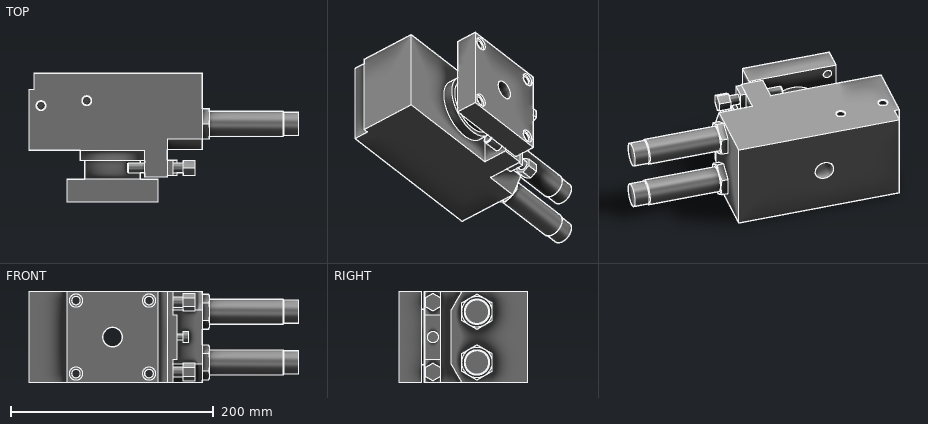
import cadquery as cq
import math

HEIGHT = 90.0
HALF_HEIGHT = HEIGHT / 2
OVERLAP = 1.0

HOUSING_LEFT = -82.5
HOUSING_RIGHT = 88.5
HOUSING_BACK = 76.0
STEP_WIDTH = 5.0
STEP_DEPTH = 16.0
LUG_LEFT = 31.6
LUG_RIGHT = 54.0
LUG_REACH = 26.4
END_RELIEF = 0.6
BEVEL_HEIGHT = 18.4
BEVEL_DEPTH = BEVEL_HEIGHT * math.tan(math.radians(30))

BORE_DIAMETER = 19.0
COLLAR_DIAMETER = 64.0
COLLAR_LENGTH = 10.3

PORT_MOUTH_DIAMETER = 9.728
PORT_DIAMETER = 8.566
PORT_DEPTH = 6.0
COUNTERSINK_TAPER = 45.0
PORT_POINTS = [(-70.5, 44.0), (-25.4, 48.9)]

SCREW_Y = -17.4
SCREW_Z = 34.4
SCREW_DIAMETER = 10.0
SCREW_TIP_DIAMETER = 8.38
SCREW_TIP_X = 14.8
SCREW_HEAD_X = 69.6
SCREW_HEAD_LENGTH = 11.8
SCREW_HEAD_FLATS = 15.0
RETAINER_WIDTH = 15.4
RETAINER_THICKNESS = 5.6
RETAINER_HEIGHT = 89.8
PAD_HEIGHT = 44.0
PAD_THICKNESS = 4.2
BUTTON_SHANK_DIAMETER = 6.0
BUTTON_HEAD_DIAMETER = 11.0
BUTTON_HEAD_LENGTH = 5.4

ABSORBER_Y = 26.0
ABSORBER_Z = 25.0
NUT_FLATS = 30.0
NUT_LENGTH = 7.2
NUT_CHAMFER = 0.9
ABSORBER_DIAMETER = 25.0
ABSORBER_CAP_DIAMETER = 23.16
ABSORBER_SHOULDER_X = 169.0
ABSORBER_END_X = 183.5

SHAFT_DIAMETER = 55.0
PLATE_BACK_Y = -28.5
PLATE_FRONT_Y = -51.0
PLATE_THICKNESS = PLATE_BACK_Y - PLATE_FRONT_Y
PLATE_HOLE_SPACING = 72.0
PLATE_HOLE_DIAMETER = 8.38
COUNTERBORE_DIAMETER = 13.0
COUNTERBORE_DEPTH = 2.2


def across_corners(flats):
    return flats / math.cos(math.radians(30))


def along_x(x, y, z):
    """Workplane at a point, facing +X, with its local x along +Y."""
    return cq.Workplane("YZ", origin=(x, y, z))


def rod_x(x_start, x_end, diameter, y, z):
    return along_x(x_start, y, z).circle(diameter / 2).extrude(x_end - x_start)


def hexagon_x(x_start, length, flats, y, z):
    """Hexagonal prism along X with two corners on its vertical line."""
    return (
        along_x(x_start, y, z)
        .transformed(rotate=(0, 0, 90))
        .polygon(6, across_corners(flats))
        .extrude(length)
    )


def rod_y(y_start, length, diameter):
    """Rod on the pivot axis, running towards -Y."""
    return cq.Workplane("XZ", origin=(0, y_start, 0)).circle(diameter / 2).extrude(length)


def block():
    outline = [
        (HOUSING_LEFT, 0),
        (LUG_LEFT, 0),
        (LUG_LEFT, -LUG_REACH),
        (LUG_RIGHT, -LUG_REACH),
        (LUG_RIGHT, END_RELIEF),
        (HOUSING_RIGHT, END_RELIEF),
        (HOUSING_RIGHT, HOUSING_BACK),
        (HOUSING_LEFT + STEP_WIDTH, HOUSING_BACK),
        (HOUSING_LEFT + STEP_WIDTH, HOUSING_BACK - STEP_DEPTH),
        (HOUSING_LEFT, HOUSING_BACK - STEP_DEPTH),
    ]
    return (
        cq.Workplane("XY", origin=(0, 0, -HALF_HEIGHT))
        .polyline(outline)
        .close()
        .extrude(HEIGHT)
    )


def bevel_cutter(side):
    """Wedge off the front edge right of the lug; side is +1 for the top, -1 for the bottom."""
    corner = [
        (END_RELIEF, side * HALF_HEIGHT),
        (END_RELIEF + BEVEL_DEPTH, side * HALF_HEIGHT),
        (END_RELIEF, side * (HALF_HEIGHT - BEVEL_HEIGHT)),
    ]
    return along_x(LUG_RIGHT, 0, 0).polyline(corner).close().extrude(HOUSING_RIGHT - LUG_RIGHT)


def stop_screw(z):
    tip_chamfer = (SCREW_DIAMETER - SCREW_TIP_DIAMETER) / 2
    shank = rod_x(SCREW_TIP_X, SCREW_HEAD_X, SCREW_DIAMETER, SCREW_Y, z).faces("<X").chamfer(tip_chamfer)
    head = hexagon_x(SCREW_HEAD_X, SCREW_HEAD_LENGTH, SCREW_HEAD_FLATS, SCREW_Y, z)
    return shank.union(head)


def retainer():
    """Plate on the right face of the lug, with a raised pad and a button-headed screw."""
    pad_x = LUG_RIGHT + RETAINER_THICKNESS
    plate = (
        along_x(LUG_RIGHT - OVERLAP, SCREW_Y, 0)
        .rect(RETAINER_WIDTH, RETAINER_HEIGHT)
        .extrude(RETAINER_THICKNESS + OVERLAP)
    )
    pad = along_x(pad_x, SCREW_Y, 0).rect(RETAINER_WIDTH, PAD_HEIGHT).extrude(PAD_THICKNESS)
    shank = rod_x(pad_x, SCREW_HEAD_X, BUTTON_SHANK_DIAMETER, SCREW_Y, 0)
    head = rod_x(SCREW_HEAD_X, SCREW_HEAD_X + BUTTON_HEAD_LENGTH, BUTTON_HEAD_DIAMETER, SCREW_Y, 0)
    return plate.union(pad).union(shank).union(head)


def absorber_nut(z):
    """Hexagon nut whose outer corners are turned down to the width across flats."""
    nut = hexagon_x(HOUSING_RIGHT, NUT_LENGTH, NUT_FLATS, ABSORBER_Y, z)
    corner_radius = across_corners(NUT_FLATS) / 2
    profile = [
        (HOUSING_RIGHT, 0),
        (HOUSING_RIGHT, corner_radius),
        (HOUSING_RIGHT + NUT_LENGTH - NUT_CHAMFER, corner_radius),
        (HOUSING_RIGHT + NUT_LENGTH, NUT_FLATS / 2),
        (HOUSING_RIGHT + NUT_LENGTH, 0),
    ]
    envelope = (
        cq.Workplane("XY", origin=(0, ABSORBER_Y, z))
        .polyline(profile)
        .close()
        .revolve(360, (0, 0, 0), (1, 0, 0))
    )
    return nut.intersect(envelope)


def shock_absorber(z):
    end_chamfer = (ABSORBER_DIAMETER - ABSORBER_CAP_DIAMETER) / 2
    barrel = (
        rod_x(HOUSING_RIGHT - OVERLAP, ABSORBER_SHOULDER_X, ABSORBER_DIAMETER, ABSORBER_Y, z)
        .faces(">X")
        .chamfer(end_chamfer)
    )
    cap = rod_x(ABSORBER_SHOULDER_X, ABSORBER_END_X, ABSORBER_CAP_DIAMETER, ABSORBER_Y, z)
    return barrel.union(cap).union(absorber_nut(z))


def ports():
    """Blind ports with a narrow countersink at the mouth."""
    countersink_width = (PORT_MOUTH_DIAMETER - PORT_DIAMETER) / 2
    countersink_depth = countersink_width / math.tan(math.radians(COUNTERSINK_TAPER))
    top = cq.Workplane("XY", origin=(0, 0, HALF_HEIGHT)).pushPoints(PORT_POINTS)
    bores = top.circle(PORT_DIAMETER / 2).extrude(-PORT_DEPTH)
    countersinks = top.circle(PORT_MOUTH_DIAMETER / 2).extrude(-countersink_depth, taper=COUNTERSINK_TAPER)
    return bores.union(countersinks)


def make_housing():
    housing = block()
    collar = rod_y(OVERLAP, COLLAR_LENGTH + OVERLAP, COLLAR_DIAMETER)
    housing = housing.union(collar).union(retainer())
    for side in (1, -1):
        housing = housing.cut(bevel_cutter(side))
        housing = housing.union(stop_screw(side * SCREW_Z))
        housing = housing.union(shock_absorber(side * ABSORBER_Z))
    bore = rod_y(HOUSING_BACK, HOUSING_BACK + COLLAR_LENGTH, BORE_DIAMETER)
    return housing.cut(bore).cut(ports())


def make_rotor():
    plate = cq.Workplane("XZ", origin=(0, PLATE_BACK_Y, 0)).rect(HEIGHT, HEIGHT).extrude(PLATE_THICKNESS)
    shaft = rod_y(-COLLAR_LENGTH, -PLATE_BACK_Y - COLLAR_LENGTH, SHAFT_DIAMETER)
    bore = rod_y(-COLLAR_LENGTH, -PLATE_FRONT_Y - COLLAR_LENGTH, BORE_DIAMETER)
    return (
        plate.union(shaft)
        .cut(bore)
        .faces("<Y")
        .workplane(origin=(0, PLATE_FRONT_Y, 0))
        .rect(PLATE_HOLE_SPACING, PLATE_HOLE_SPACING, forConstruction=True)
        .vertices()
        .cboreHole(PLATE_HOLE_DIAMETER, COUNTERBORE_DIAMETER, COUNTERBORE_DEPTH)
    )


housing = make_housing().solids()
rotor = make_rotor().solids()
result = cq.Compound.makeCompound([housing.val(), rotor.val()])